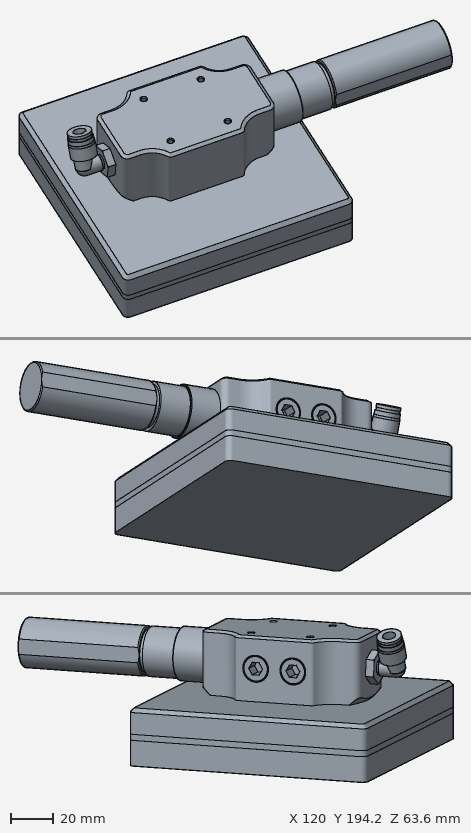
import cadquery as cq
import math

GRIPPER_SIDE = 120.0
GRIPPER_CORNER_R = 3.0
FOAM_HEIGHT = 12.5
STRIP_HEIGHT = 3.0
PLATE_HEIGHT = 12.5
PLATE_CHAMFER = 2.0
STRIP_BASE_Z = FOAM_HEIGHT
PLATE_BASE_Z = STRIP_BASE_Z + STRIP_HEIGHT
PLATE_TOP_Z = PLATE_BASE_Z + PLATE_HEIGHT

HOUSING_HEIGHT = 31.5
HOUSING_LENGTH = 80.0
MIDDLE_WIDTH = 47.4
NECK_WIDTH = 32.2
NECK_ARC_R = 12.6
NECK_ARC_Y = 31.0
NECK_CORNER_R = 3.5
SHOULDER_R = 2.0
TOP_CHAMFER_INWARD = 1.7
TOP_CHAMFER_DOWN = 1.2
BASE_CONE_R = 38.6
HOUSING_END_Y = HOUSING_LENGTH / 2
AXIS_HEIGHT = 16.0
AXIS_Z = PLATE_TOP_Z + AXIS_HEIGHT

POSITION_TOLERANCE = 0.02

MOUNT_HOLE_D = 2.5
MOUNT_HOLE_RIM_D = 3.5
MOUNT_HOLE_DEPTH = 5.8
MOUNT_HOLE_SPACING = 30.0

PLUG_D = 12.5
PLUG_CHAMFER = 0.3
PLUG_LENGTH = 11.7
PLUG_SPACING = 18.8
PLUG_POSITIONS = (-PLUG_SPACING / 2, PLUG_SPACING / 2)
SOCKET_FLATS = 6.0
SOCKET_DEPTH = 7.8

COLLAR_D = 26.0
COLLAR_LENGTH = 15.5
COLLAR_CHAMFER = 0.4
SILENCER_D = 24.0
SILENCER_ACROSS_FLATS = 23.0
SILENCER_RING_LENGTH = 15.5
SILENCER_GROOVE_D = 21.0
SILENCER_GROOVE_WIDTH = 2.0
SILENCER_CHAMFER = 0.5
OVERALL_LENGTH = 194.2
SILENCER_BASE_Y = HOUSING_END_Y + COLLAR_LENGTH
SILENCER_BODY_Y = SILENCER_BASE_Y + SILENCER_RING_LENGTH + SILENCER_GROOVE_WIDTH
SILENCER_TIP_Y = OVERALL_LENGTH - GRIPPER_SIDE / 2

FITTING_TILT = 24.0
NUT_FLATS = 14.0
NUT_LENGTH = 4.0
NUT_CHAMFER = 0.4
SWIVEL_D = 7.2
SWIVEL_LENGTH = 1.0
ARM_D = 8.2
LEG_D = 8.7
LEG_REACH = 13.0
HEAD_REACH = 12.0
HEAD_BASE = 6.0
HEAD_STEPS = (
    (13.0, 12.6),
    (12.8, 13.8),
    (12.5, 16.0),
    (11.5, 17.3),
    (11.8, 18.8),
)
TUBE_D = 6.2
TUBE_DEPTH = 4.5


def across_corners(across_flats):
    """Corner-to-corner size of a regular hexagon."""
    return across_flats / math.cos(math.radians(30))


def square_slab(base_z, height):
    slab = cq.Workplane("XY", origin=(0, 0, base_z)).rect(GRIPPER_SIDE, GRIPPER_SIDE).extrude(height)
    return slab.edges("|Z").fillet(GRIPPER_CORNER_R)


def make_plate():
    return square_slab(PLATE_BASE_Z, PLATE_HEIGHT).faces(">Z").edges().chamfer(PLATE_CHAMFER)


def neck_notch(x_sign, y_sign):
    """Material beside one neck: a straight stretch ending in the concave arc."""
    notch_width = 2 * NECK_ARC_R
    centre_x = x_sign * (NECK_WIDTH / 2 + NECK_ARC_R)
    straight = (
        cq.Workplane("XY", origin=(centre_x, y_sign * (NECK_ARC_Y + NECK_ARC_R / 2), PLATE_TOP_Z))
        .rect(notch_width, NECK_ARC_R)
        .extrude(HOUSING_HEIGHT)
    )
    arc = (
        cq.Workplane("XY", origin=(centre_x, y_sign * NECK_ARC_Y, PLATE_TOP_Z))
        .circle(NECK_ARC_R)
        .extrude(HOUSING_HEIGHT)
    )
    return straight.union(arc)


def is_near(value, target):
    return math.isclose(value, target, abs_tol=POSITION_TOLERANCE)


def at_neck_corner(edge):
    return is_near(abs(edge.Center().y), HOUSING_END_Y)


def at_shoulder(edge):
    return is_near(abs(edge.Center().x), MIDDLE_WIDTH / 2)


def base_cone():
    """Upward-opening 45 degree cone that lifts the housing ends off the plate."""
    return (
        cq.Workplane("XY", origin=(0, 0, PLATE_TOP_Z))
        .circle(BASE_CONE_R)
        .workplane(offset=HOUSING_HEIGHT)
        .circle(BASE_CONE_R + HOUSING_HEIGHT)
        .loft()
    )


def mount_hole_cutter(x, y):
    """Drilled hole with a 45 degree rim and a 45 degree drill point."""
    hole_r = MOUNT_HOLE_D / 2
    rim_r = MOUNT_HOLE_RIM_D / 2
    profile = (
        cq.Workplane("XZ")
        .polyline([
            (0, 0),
            (rim_r, 0),
            (hole_r, hole_r - rim_r),
            (hole_r, -MOUNT_HOLE_DEPTH),
            (0, -MOUNT_HOLE_DEPTH - hole_r),
        ])
        .close()
    )
    return profile.revolve(360, (0, 0), (0, 1)).translate((x, y, PLATE_TOP_Z + HOUSING_HEIGHT))


def plug_seat_cutter(y):
    """Hole for one plug, with a small 45 degree rim."""
    face_plane = cq.Workplane("YZ", origin=(-MIDDLE_WIDTH / 2, y, AXIS_Z))
    seat = face_plane.circle(PLUG_D / 2).extrude(PLUG_LENGTH)
    rim = (
        face_plane.circle(PLUG_D / 2 + PLUG_CHAMFER)
        .workplane(offset=PLUG_CHAMFER)
        .circle(PLUG_D / 2)
        .loft()
    )
    return seat.union(rim)


def make_housing():
    housing = (
        cq.Workplane("XY", origin=(0, 0, PLATE_TOP_Z))
        .rect(MIDDLE_WIDTH, HOUSING_LENGTH)
        .extrude(HOUSING_HEIGHT)
    )
    for x_sign in (-1, 1):
        for y_sign in (-1, 1):
            housing = housing.cut(neck_notch(x_sign, y_sign))
    housing = housing.edges("|Z").filter(at_neck_corner).fillet(NECK_CORNER_R)
    housing = housing.edges("|Z").filter(at_shoulder).fillet(SHOULDER_R)
    housing = housing.faces(">Z").edges().chamfer(TOP_CHAMFER_DOWN, TOP_CHAMFER_INWARD)
    housing = housing.intersect(base_cone())
    for x_sign in (-1, 1):
        for y_sign in (-1, 1):
            x = x_sign * MOUNT_HOLE_SPACING / 2
            y = y_sign * MOUNT_HOLE_SPACING / 2
            housing = housing.cut(mount_hole_cutter(x, y))
    for y in PLUG_POSITIONS:
        housing = housing.cut(plug_seat_cutter(y))
    return housing


def make_plug(y):
    """Plug lying flush with the housing side, its hexagon pointing along Y."""
    face_plane = cq.Workplane("YZ", origin=(-MIDDLE_WIDTH / 2, y, AXIS_Z))
    plug = face_plane.circle(PLUG_D / 2).extrude(PLUG_LENGTH)
    plug = plug.faces("<X").edges().chamfer(PLUG_CHAMFER)
    socket = face_plane.polygon(6, across_corners(SOCKET_FLATS)).extrude(SOCKET_DEPTH)
    return plug.cut(socket)


def axial_cylinder(diameter, start_y, end_y):
    """Cylinder along Y on the axis of the collar and silencer."""
    start = cq.Vector(0, start_y, AXIS_Z)
    return cq.Workplane(cq.Solid.makeCylinder(diameter / 2, end_y - start_y, start, cq.Vector(0, 1, 0)))


def make_collar():
    collar = axial_cylinder(COLLAR_D, HOUSING_END_Y, SILENCER_BASE_Y)
    return collar.faces(">Y").edges().chamfer(COLLAR_CHAMFER)


def make_silencer():
    """Plain ring, groove and a long body with a flat on its -X and +X sides."""
    body = axial_cylinder(SILENCER_D, SILENCER_BODY_Y, SILENCER_TIP_Y)
    body = body.edges("%CIRCLE").chamfer(SILENCER_CHAMFER)
    flats = cq.Workplane("XY", origin=(0, (SILENCER_BODY_Y + SILENCER_TIP_Y) / 2, AXIS_Z)).box(
        SILENCER_ACROSS_FLATS, SILENCER_TIP_Y - SILENCER_BODY_Y, SILENCER_D)
    groove_floor = axial_cylinder(SILENCER_GROOVE_D, SILENCER_BASE_Y, SILENCER_BODY_Y)
    ring = axial_cylinder(SILENCER_D, SILENCER_BASE_Y, SILENCER_BASE_Y + SILENCER_RING_LENGTH)
    return body.intersect(flats).union(groove_floor).union(ring)


def fitting_nut():
    """Hexagon nut with two corners along X and its outer corners bevelled."""
    corner_d = across_corners(NUT_FLATS)
    nut = cq.Workplane("XZ").polygon(6, corner_d).extrude(NUT_LENGTH)
    bevel = cq.Workplane("XZ").circle(corner_d / 2).extrude(NUT_LENGTH)
    bevel = bevel.faces("<Y").edges().chamfer(NUT_CHAMFER)
    return nut.intersect(bevel)


def fitting_elbow():
    """Swivel neck, arm along -Y, ball corner and leg rising to the head."""
    arm_start = NUT_LENGTH + SWIVEL_LENGTH
    swivel = cq.Workplane("XZ").circle(SWIVEL_D / 2).extrude(arm_start)
    arm = (
        cq.Workplane("XZ", origin=(0, -arm_start, 0))
        .circle(ARM_D / 2)
        .extrude(LEG_REACH - arm_start)
    )
    corner = cq.Workplane("XY", origin=(0, -LEG_REACH, 0)).sphere(ARM_D / 2)
    leg = cq.Workplane("XY", origin=(0, -LEG_REACH, 0)).circle(LEG_D / 2).extrude(HEAD_BASE)
    return swivel.union(arm).union(corner).union(leg)


def fitting_head():
    """Stepped push-in head with the tube opening in its tip."""
    section_base = HEAD_BASE
    head = None
    for diameter, section_end in HEAD_STEPS:
        section = (
            cq.Workplane("XY", origin=(0, -HEAD_REACH, section_base))
            .circle(diameter / 2)
            .extrude(section_end - section_base)
        )
        head = section if head is None else head.union(section)
        section_base = section_end
    return head.faces(">Z").workplane(origin=(0, -HEAD_REACH, 0)).hole(TUBE_D, TUBE_DEPTH)


def make_fitting():
    """Fitting built upright at the origin, tilted about its nut axis and moved to the housing end."""
    upright = fitting_nut().union(fitting_elbow()).union(fitting_head())
    tilted = upright.rotate((0, 0, 0), (0, 1, 0), -FITTING_TILT)
    return tilted.translate((0, -HOUSING_END_Y, AXIS_Z))


foam = square_slab(0, FOAM_HEIGHT)
strip = square_slab(STRIP_BASE_Z, STRIP_HEIGHT)
plate = make_plate()
housing = make_housing()
plugs = [make_plug(y) for y in PLUG_POSITIONS]
collar = make_collar()
silencer = make_silencer()
fitting = make_fitting()

result = cq.Compound.makeCompound([
    foam.val(),
    strip.val(),
    plate.val(),
    housing.val(),
    *[plug.val() for plug in plugs],
    collar.val(),
    silencer.val(),
    fitting.val(),
])